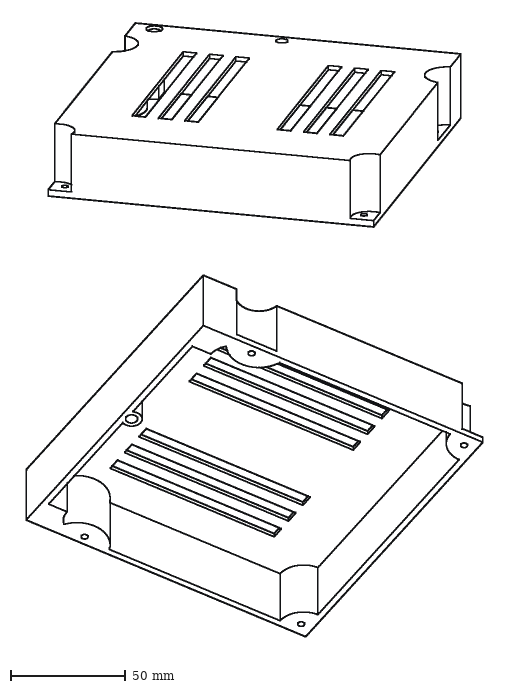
import cadquery as cq
LENGTH = 148.0
WIDTH = 144.0
HEIGHT = 30.0
WALL = 3.0
RECESS_WALL = 4.0
ROOF = 2.0

FOOT = 3.0
SCREW_DIAMETER = 3.0
SIDE_RECESS_RADIUS = 10.5
SIDE_RECESS_X = 76.0
SIDE_RECESS_Y = 44.5
SIDE_SCREW_X = 69.7
CORNER_RECESS_RADIUS = 8.3
CORNER_RECESS_X = 71.25
CORNER_RECESS_Y = -69.25
CORNER_SCREW_X = 68.0
CORNER_SCREW_Y = -66.0

SLOT_WIDTH = 6.1
SLOT_LENGTH = 84.4
SLOT_PITCH = 12.0
SLOTS_PER_GROUP = 3
SLOT_GROUP_CENTERS = (-29.0, 37.0)

BLOCK_WIDTH = 12.5
BLEND_RADIUS = 11.0

REAR_HOLE_DIAMETER = 5.3
REAR_HOLE_Y = 67.0
THROUGH_HOLE_X = -6.0
COUNTERSUNK_HOLE_X = -64.0
COUNTERSINK_DIAMETER = 7.3
BLIND_HOLE_DEPTH = 10.0
POST_WALL = 2.0

SIDES = (-1, 1)


def cylinder(x, y, radius, bottom, top):
    """Vertical cylinder at (x, y) between two heights."""
    return cq.Workplane("XY", origin=(x, y, bottom)).circle(radius).extrude(top - bottom)


def box(length, width, bottom, top):
    """Box centred on X and Y between two heights."""
    return cq.Workplane("XY", origin=(0, 0, bottom)).rect(length, width).extrude(top - bottom)


def recesses():
    """(x, y, radius) of the four cylindrical screw recesses."""
    places = []
    for side in SIDES:
        places.append((side * SIDE_RECESS_X, SIDE_RECESS_Y, SIDE_RECESS_RADIUS))
        places.append((side * CORNER_RECESS_X, CORNER_RECESS_Y, CORNER_RECESS_RADIUS))
    return places


def rear_block(side):
    """Solid rear corner block, blended into the side wall by a concave arc."""
    wall_x = LENGTH / 2 - WALL
    inner_x = wall_x - BLEND_RADIUS
    front_y = WIDTH / 2 - BLOCK_WIDTH
    profile = (
        cq.Workplane("XY")
        .moveTo(side * inner_x, WIDTH / 2)
        .lineTo(side * inner_x, front_y)
        .radiusArc((side * wall_x, front_y - BLEND_RADIUS), side * BLEND_RADIUS)
        .lineTo(side * wall_x, WIDTH / 2)
        .close()
    )
    return profile.extrude(HEIGHT)


def cavity():
    """Inner space, leaving walls around the recesses, rear corner blocks and a post for the plain hole."""
    space = box(LENGTH - 2 * WALL, WIDTH - 2 * WALL, 0, HEIGHT - ROOF)
    for x, y, radius in recesses():
        space = space.cut(cylinder(x, y, radius + RECESS_WALL, 0, HEIGHT))
    for side in SIDES:
        space = space.cut(rear_block(side))
    post_radius = REAR_HOLE_DIAMETER / 2 + POST_WALL
    return space.cut(cylinder(THROUGH_HOLE_X, REAR_HOLE_Y, post_radius, 0, HEIGHT))


def cut_recesses(body):
    """Cut the four recesses down to their feet and drill the screw holes."""
    for x, y, radius in recesses():
        body = body.cut(cylinder(x, y, radius, FOOT, HEIGHT))
    for side in SIDES:
        for x, y in ((SIDE_SCREW_X, SIDE_RECESS_Y), (CORNER_SCREW_X, CORNER_SCREW_Y)):
            body = body.cut(cylinder(side * x, y, SCREW_DIAMETER / 2, 0, FOOT))
    return body


def cut_slots(body):
    """Cut the vent slots through the roof."""
    for group_center in SLOT_GROUP_CENTERS:
        slots = (
            cq.Workplane("XY", origin=(group_center, 0, HEIGHT - ROOF))
            .rarray(SLOT_PITCH, 1, SLOTS_PER_GROUP, 1)
            .rect(SLOT_WIDTH, SLOT_LENGTH)
            .extrude(ROOF)
        )
        body = body.cut(slots)
    return body


def cut_rear_holes(body):
    """Drill the plain hole through its post and the countersunk blind hole in the rear left block."""
    radius = REAR_HOLE_DIAMETER / 2
    body = body.cut(cylinder(THROUGH_HOLE_X, REAR_HOLE_Y, radius, 0, HEIGHT))
    body = body.cut(cylinder(COUNTERSUNK_HOLE_X, REAR_HOLE_Y, radius, HEIGHT - BLIND_HOLE_DEPTH, HEIGHT))
    countersink_depth = (COUNTERSINK_DIAMETER - REAR_HOLE_DIAMETER) / 2
    countersink = (
        cq.Workplane("XY", origin=(COUNTERSUNK_HOLE_X, REAR_HOLE_Y, HEIGHT - countersink_depth))
        .circle(radius)
        .workplane(offset=countersink_depth)
        .circle(COUNTERSINK_DIAMETER / 2)
        .loft()
    )
    return body.cut(countersink)


result = box(LENGTH, WIDTH, 0, HEIGHT).cut(cavity())
result = cut_recesses(result)
result = cut_slots(result)
result = cut_rear_holes(result)